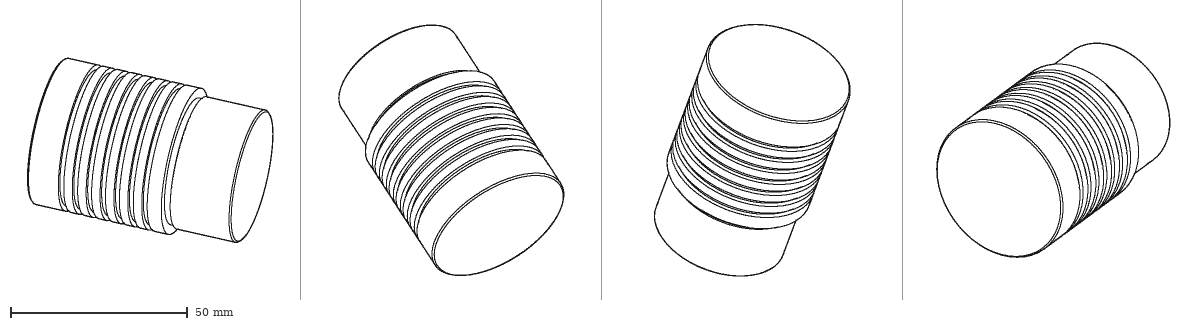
import cadquery as cq

total_length = 60.0
body_length = 40.0
neck_length = 2.0

body_diameter = 42.4
groove_diameter = 39.6
neck_diameter = 36.8
spigot_diameter = 38.4

groove_count = 7
groove_width = 1.6
groove_pitch = 4.15
first_groove_start = 9.35

edge_chamfer = 0.5

start_x = -total_length / 2
body_end_x = start_x + body_length
spigot_start_x = body_end_x + neck_length
spigot_length = total_length - body_length - neck_length


def cylinder(x, length, diameter):
    """Solid cylinder on the X axis, running from x toward +X."""
    return cq.Workplane("YZ", origin=(x, 0, 0)).circle(diameter / 2).extrude(length)


def groove_ring(x):
    """Ring of material to remove for one groove starting at x."""
    return cylinder(x, groove_width, body_diameter).cut(cylinder(x, groove_width, groove_diameter))


body = cylinder(start_x, body_length, body_diameter).faces("<X").chamfer(edge_chamfer)
for index in range(groove_count):
    body = body.cut(groove_ring(start_x + first_groove_start + index * groove_pitch))

neck = cylinder(body_end_x, neck_length, neck_diameter)
spigot = cylinder(spigot_start_x, spigot_length, spigot_diameter).faces(">X").chamfer(edge_chamfer)

result = body.union(neck).union(spigot)